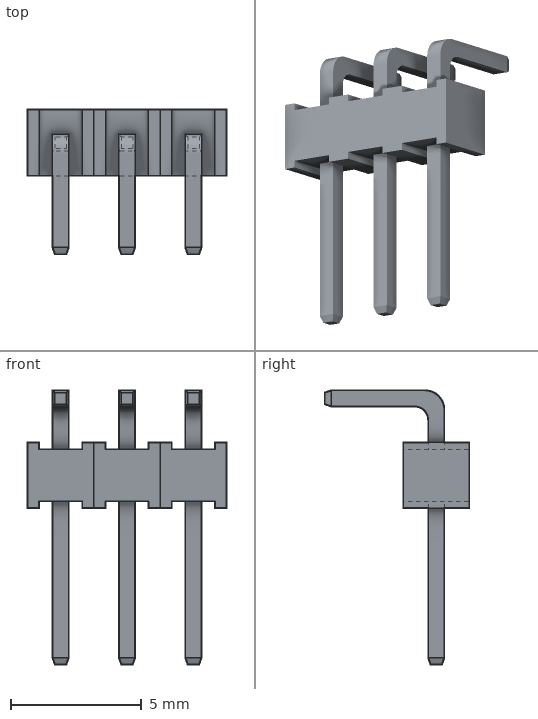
import cadquery as cq

contact_count = 3
total_height = 10.5
pitch = 2.54
block_depth = pitch
block_height = 2.52

rail_width = 0.45
rail_height = 0.26

pin_size = 0.63
pin_rise = 2.0
pin_drop = total_height - block_height - pin_rise
arm_overhang = 3.0
bend_outer_radius = 0.76
bend_inner_radius = 0.5

tip_length = 0.26
tip_inset = 0.09

pin_top = block_height / 2 + pin_rise
pin_bottom = -block_height / 2 - pin_drop
arm_end = -block_depth / 2 - arm_overhang
arm_centre = pin_top - pin_size / 2
half_pin = pin_size / 2
tip_size = pin_size - 2 * tip_inset


def make_block():
    """Block with a wide shallow channel along Y in its top and bottom."""
    block = cq.Workplane("XY").box(pitch, block_depth, block_height)
    channel_width = pitch - 2 * rail_width
    channel_offset = (block_height - rail_height) / 2
    for side in (1, -1):
        channel = cq.Workplane("XY").box(channel_width, block_depth, rail_height)
        block = block.cut(channel.translate((0, 0, side * channel_offset)))
    return block


def make_bent_bar():
    """L-shaped square bar without its tapered tips, bent towards -Y at the top."""
    leg_bottom = pin_bottom + tip_length
    arm_front = arm_end + tip_length
    arm_underside = pin_top - pin_size
    outline = [
        (half_pin, leg_bottom),
        (half_pin, pin_top),
        (arm_front, pin_top),
        (arm_front, arm_underside),
        (-half_pin, arm_underside),
        (-half_pin, leg_bottom),
    ]
    bar = cq.Workplane("YZ").polyline(outline).close().extrude(half_pin, both=True)
    outer_corner = cq.selectors.NearestToPointSelector((0, half_pin, pin_top))
    bar = bar.edges(outer_corner).fillet(bend_outer_radius)
    inner_corner = cq.selectors.NearestToPointSelector((0, -half_pin, arm_underside))
    return bar.edges(inner_corner).fillet(bend_inner_radius)


def make_tip(base_centre, direction):
    """Square taper that narrows from the end of the bar along the given direction."""
    base = cq.Plane(origin=base_centre, xDir=(1, 0, 0), normal=direction)
    return (
        cq.Workplane(base)
        .rect(pin_size, pin_size)
        .workplane(offset=tip_length)
        .rect(tip_size, tip_size)
        .loft(ruled=True)
    )


def make_pin():
    """Bent bar with a tapered tip on each end."""
    leg_tip = make_tip((0, 0, pin_bottom + tip_length), (0, 0, -1))
    arm_tip = make_tip((0, arm_end + tip_length, arm_centre), (0, -1, 0))
    return make_bent_bar().union(leg_tip).union(arm_tip)


def make_contact(index):
    """One block with its pin, at its place in the row."""
    x_position = (index - (contact_count - 1) / 2) * pitch
    return make_block().union(make_pin()).translate((x_position, 0, 0))


contacts = [make_contact(index).solids().val() for index in range(contact_count)]

result = cq.Compound.makeCompound(contacts)